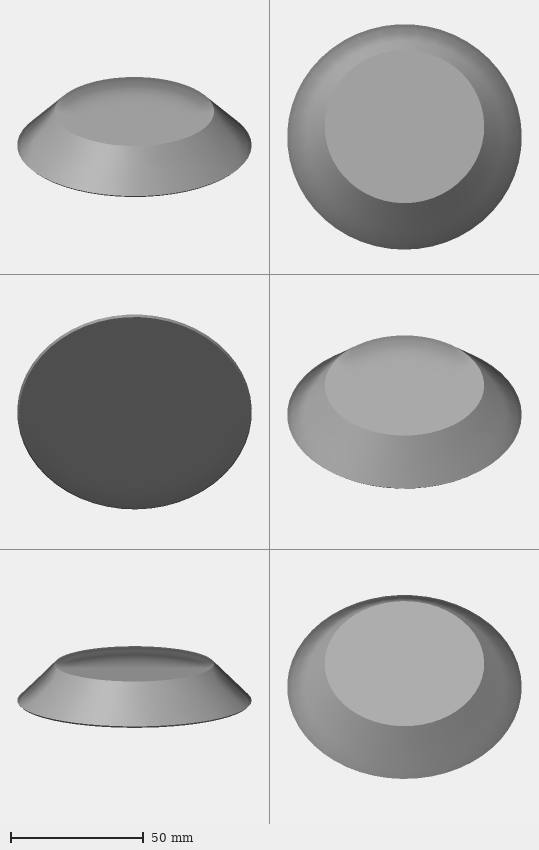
import cadquery as cq

rim_diameter = 88.3
top_diameter = 60.0
height = 14.8
rim_undercut = 0.7

rim_radius = rim_diameter / 2
top_radius = top_diameter / 2
base_radius = rim_radius - rim_undercut

half_section = (
    cq.Workplane("XZ")
    .moveTo(0, 0)
    .lineTo(base_radius, 0)
    .lineTo(rim_radius, rim_undercut)
    .lineTo(top_radius, height)
    .lineTo(0, height)
    .close()
)

result = half_section.revolve(360, (0, 0, 0), (0, 1, 0))